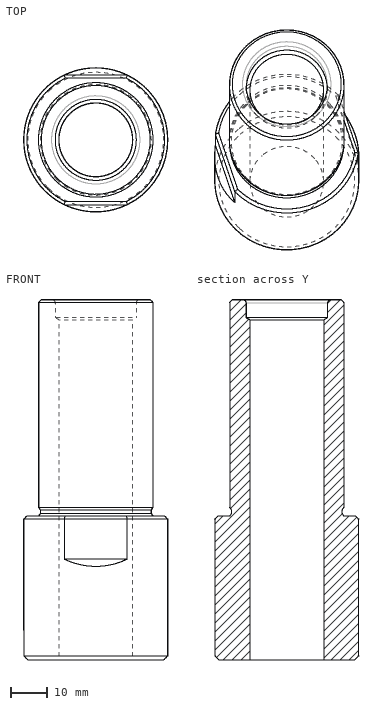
import cadquery as cq
import math

total_length = 100.0
body_diameter = 40.0
body_length = 40.0
tube_diameter = 31.8
bore_diameter = 20.4

base_chamfer = 1.2
shoulder_chamfer = 0.9
tube_chamfer = 0.8

groove_diameter = 30.8
groove_top_gap = 2.4
groove_floor_bottom_gap = 0.7
groove_floor_length = 0.9

across_flats = 36.0
flat_bottom = 28.0

counterbore_diameter = 22.5
counterbore_depth = 5.0
entry_rounding = 1.0
seat_angle = 30.0

body_radius = body_diameter / 2
tube_radius = tube_diameter / 2
groove_radius = groove_diameter / 2
bore_radius = bore_diameter / 2
counterbore_radius = counterbore_diameter / 2


def make_body():
    """Round body with wrench flats; its top edge is chamfered along arcs and flats."""
    body = cq.Workplane("XY").circle(body_radius).extrude(body_length)
    body = body.faces("<Z").edges().chamfer(base_chamfer)
    half_flats = across_flats / 2
    flat_depth = body_radius - half_flats
    for side in (-1, 1):
        cutter = (
            cq.Workplane("YZ")
            .moveTo(side * half_flats, body_length)
            .lineTo(side * half_flats, flat_bottom)
            .lineTo(side * body_radius, flat_bottom - flat_depth)
            .lineTo(side * body_radius, body_length)
            .close()
            .extrude(body_radius, both=True)
        )
        body = body.cut(cutter)
    return body.faces(">Z").edges().chamfer(shoulder_chamfer)


def make_tube():
    """Tube with a tapered relief groove at its root and a chamfered free end."""
    groove_floor_bottom = body_length + groove_floor_bottom_gap
    groove_floor_top = groove_floor_bottom + groove_floor_length
    return (
        cq.Workplane("XZ")
        .moveTo(0, body_length)
        .lineTo(tube_radius, body_length)
        .lineTo(groove_radius, groove_floor_bottom)
        .lineTo(groove_radius, groove_floor_top)
        .lineTo(tube_radius, body_length + groove_top_gap)
        .lineTo(tube_radius, total_length - tube_chamfer)
        .lineTo(tube_radius - tube_chamfer, total_length)
        .lineTo(0, total_length)
        .close()
        .revolve(360, (0, 0, 0), (0, 1, 0))
    )


def make_bore():
    """Through bore with a counterbore, a conical seat and a rounded entry."""
    seat_top = total_length - counterbore_depth
    seat_height = (counterbore_radius - bore_radius) * math.tan(math.radians(seat_angle))
    arc_inset = entry_rounding * (1 - math.sqrt(0.5))
    return (
        cq.Workplane("XZ")
        .lineTo(bore_radius, 0)
        .lineTo(bore_radius, seat_top - seat_height)
        .lineTo(counterbore_radius, seat_top)
        .lineTo(counterbore_radius, total_length - entry_rounding)
        .threePointArc(
            (counterbore_radius + arc_inset, total_length - arc_inset),
            (counterbore_radius + entry_rounding, total_length),
        )
        .lineTo(0, total_length)
        .close()
        .revolve(360, (0, 0, 0), (0, 1, 0))
    )


result = make_body().union(make_tube()).cut(make_bore())